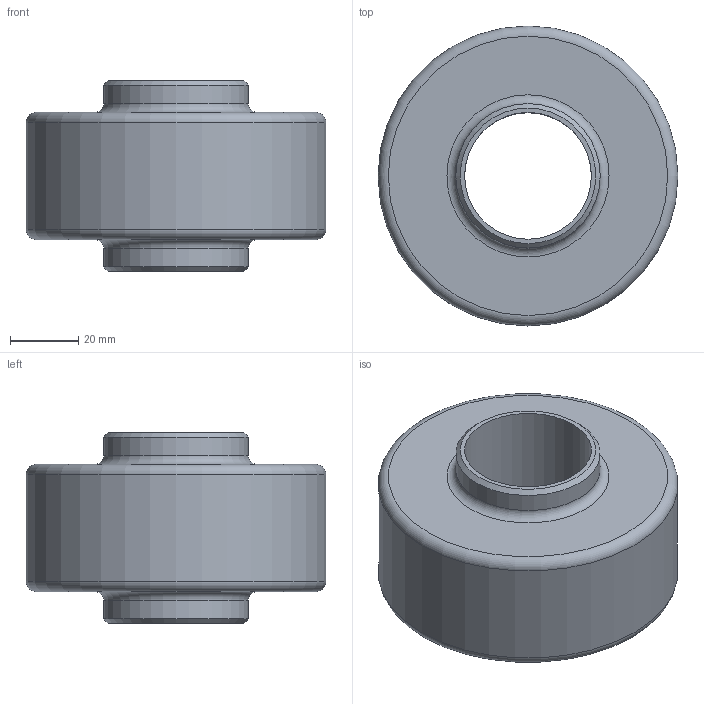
import cadquery as cq

body_diameter = 88.0
neck_diameter = 42.4
bore_diameter = 37.2
overall_height = 56.0
rim_fillet = 3.0

body_radius = body_diameter / 2
body_height = overall_height * 2 / 3
neck_radius = neck_diameter / 2
neck_wall = (neck_diameter - bore_diameter) / 2
neck_chamfer = neck_wall / 2
neck_fillet = neck_wall


def make_body():
    """Wide disc centred on the origin, rounded along both outer rims."""
    disc = cq.Workplane("XY").cylinder(body_height, body_radius)
    return disc.edges("%CIRCLE").fillet(rim_fillet)


def make_neck(side):
    """Neck on one face (side = 1 top, -1 bottom): concave root fillet and chamfered end."""
    root_z = side * body_height / 2
    end_z = side * overall_height / 2
    fillet_end = (neck_radius, root_z + side * neck_fillet)
    fillet_foot = (neck_radius + neck_fillet, root_z)
    profile = (
        cq.Workplane("XZ")
        .moveTo(0, 0)
        .lineTo(0, end_z)
        .lineTo(neck_radius - neck_chamfer, end_z)
        .lineTo(neck_radius, end_z - side * neck_chamfer)
        .lineTo(*fillet_end)
        .radiusArc(fillet_foot, -side * neck_fillet)
        .lineTo(fillet_foot[0], 0)
        .close()
    )
    return profile.revolve(360, (0, 0, 0), (0, 1, 0))


def make_bore():
    """Cylinder that opens the part from end to end."""
    return cq.Workplane("XY").cylinder(overall_height, bore_diameter / 2)


result = make_body()
for side in (1, -1):
    result = result.union(make_neck(side))
result = result.cut(make_bore())